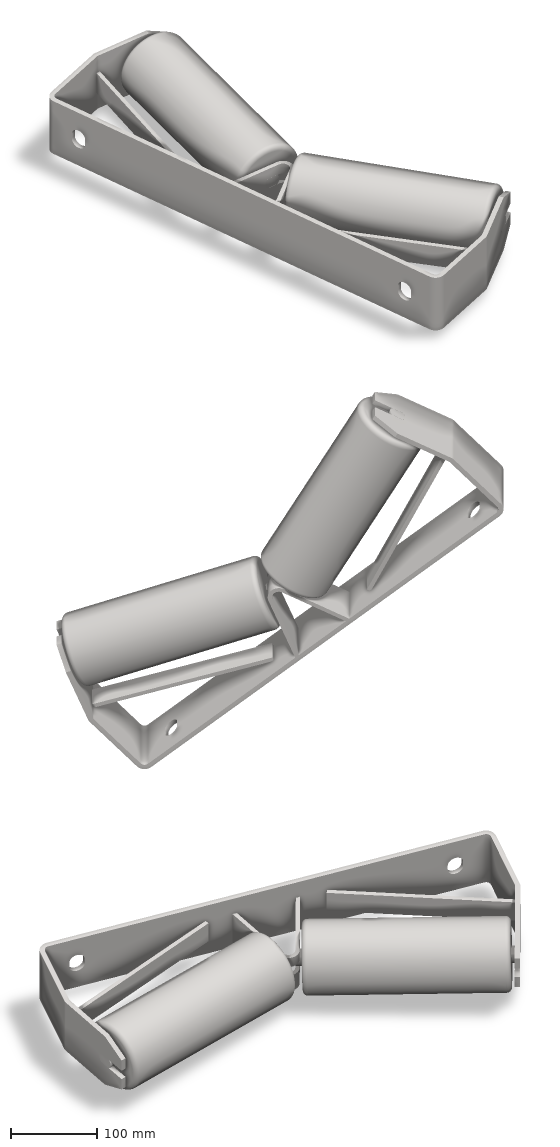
import cadquery as cq
import math

frame_length = 560.0
frame_height = 80.0
frame_plate = 6.0
corner_radius = 12.0
wing_height = 96.5
lean = 20.0
lip_length = 103.0
lip_bend_radius = 9.0
lip_chamfer_along = 30.0
lip_chamfer_across = 16.0
mount_slot_spacing = 465.0
mount_slot_width = 19.0
mount_slot_height = 26.0

roller_diameter = 89.0
roller_length = 242.0
roller_round = 6.0
roller_droop = 1.55
outer_gap = 4.0
inner_gap = 3.0
shaft_diameter = 20.0
shaft_flats = 14.0
shaft_from_lip_end = 30.0

arch_plate = 5.0
arch_top = 15.0
arch_bottom = -frame_height / 2
arch_bend_radius = 13.0

brace_plate = 5.0
brace_height = 30.0
brace_angle = 23.7
brace_start_y = 99.0

sin_lean = math.sin(math.radians(lean))
cos_lean = math.cos(math.radians(lean))
half_length = frame_length / 2

lip_tip_x = -half_length + lip_length * sin_lean
lip_tip_y = wing_height + lip_length * cos_lean

shaft_x = lip_tip_x - shaft_from_lip_end * sin_lean
shaft_y = lip_tip_y - shaft_from_lip_end * cos_lean
roller_start = frame_plate + outer_gap
arch_face = roller_start + roller_length + inner_gap
shaft_length = arch_face + arch_plate

droop_sin = math.sin(math.radians(roller_droop))
droop_cos = math.cos(math.radians(roller_droop))
shaft_plane = cq.Plane(
    origin=(shaft_x, shaft_y, 0),
    xDir=(sin_lean, cos_lean, 0),
    normal=(cos_lean * droop_cos, -sin_lean * droop_cos, -droop_sin),
)

lip_plane = cq.Plane(
    origin=(lip_tip_x, lip_tip_y, 0),
    xDir=(sin_lean, cos_lean, 0),
    normal=(cos_lean, -sin_lean, 0),
)


def mirrored(body):
    """The right-hand copy of a left-hand body."""
    return body.mirror("YZ")


def round_upright_edge(body, x, y, radius):
    """Fillet the upright edge that passes through (x, y)."""
    mid_z = body.val().BoundingBox().center.z
    edge = cq.selectors.NearestToPointSelector((x, y, mid_z))
    return body.edges("|Z").edges(edge).fillet(radius)


def make_shaft(start, length):
    """Round bar with two flats, along the left shaft axis."""
    across = cq.Workplane(shaft_plane).workplane(offset=start)
    round_bar = across.circle(shaft_diameter / 2).extrude(length)
    flat_bar = across.rect(shaft_diameter, shaft_flats).extrude(length)
    return round_bar.intersect(flat_bar)


def make_shaft_slot(start, length):
    """Cutter for the open slot that a shaft end drops into."""
    reach = 2 * shaft_from_lip_end
    channel = (
        cq.Workplane(shaft_plane)
        .workplane(offset=start)
        .center(reach / 2, 0)
        .rect(reach, shaft_flats)
        .extrude(length)
    )
    return channel.union(make_shaft(start, length))


def make_roller():
    shell = (
        cq.Workplane(shaft_plane)
        .workplane(offset=roller_start)
        .circle(roller_diameter / 2)
        .extrude(roller_length)
        .faces("%PLANE")
        .edges()
        .fillet(roller_round)
    )
    return shell.union(make_shaft(0, shaft_length))


def make_bent_half_frame():
    inner_x = -half_length + frame_plate
    inner_bend_y = wing_height - frame_plate * math.tan(math.radians(lean / 2))
    half = (
        cq.Workplane("XY")
        .workplane(offset=-frame_height / 2)
        .polyline([
            (0, 0),
            (-half_length, 0),
            (-half_length, wing_height),
            (lip_tip_x, lip_tip_y),
            (lip_tip_x + frame_plate * cos_lean, lip_tip_y - frame_plate * sin_lean),
            (inner_x, inner_bend_y),
            (inner_x, frame_plate),
            (0, frame_plate),
        ])
        .close()
        .extrude(frame_height)
    )
    half = round_upright_edge(half, -half_length, 0, corner_radius)
    half = round_upright_edge(half, inner_x, frame_plate, corner_radius - frame_plate)
    half = round_upright_edge(half, -half_length, wing_height, lip_bend_radius)
    return round_upright_edge(half, inner_x, inner_bend_y, lip_bend_radius - frame_plate)


def make_lip_corner(side):
    """Cutter for the sloped corner of the lip, above (side 1) or below (side -1)."""
    edge_z = side * frame_height / 2
    return (
        cq.Workplane(lip_plane)
        .polyline([
            (0, edge_z),
            (-lip_chamfer_along, edge_z),
            (0, edge_z - side * lip_chamfer_across),
        ])
        .close()
        .extrude(frame_plate)
    )


def make_frame():
    half = make_bent_half_frame()
    for side in (1, -1):
        half = half.cut(make_lip_corner(side))
    half = half.cut(make_shaft_slot(-frame_plate, 3 * frame_plate))
    mount_slots = (
        cq.Workplane("XZ")
        .pushPoints([(side * mount_slot_spacing / 2, 0) for side in (-1, 1)])
        .slot2D(mount_slot_height, mount_slot_width, 90)
        .extrude(-frame_plate)
    )
    return half.union(mirrored(half)).cut(mount_slots)


def make_arch():
    face_x = shaft_x + arch_face * cos_lean
    face_y = shaft_y - arch_face * sin_lean
    foot_y = frame_plate
    foot_x = face_x - (face_y - foot_y) * sin_lean / cos_lean
    inner_foot_x = foot_x + arch_plate / cos_lean
    peak_y = foot_y - foot_x * cos_lean / sin_lean
    inner_peak_y = peak_y - arch_plate / sin_lean
    arch = (
        cq.Workplane("XY")
        .workplane(offset=arch_bottom)
        .polyline([
            (foot_x, foot_y),
            (0, peak_y),
            (-foot_x, foot_y),
            (-inner_foot_x, foot_y),
            (0, inner_peak_y),
            (inner_foot_x, foot_y),
        ])
        .close()
        .extrude(arch_top - arch_bottom)
    )
    arch = round_upright_edge(arch, 0, peak_y, arch_bend_radius)
    arch = round_upright_edge(arch, 0, inner_peak_y, arch_bend_radius - arch_plate)
    slot = make_shaft_slot(arch_face - arch_plate, 3 * arch_plate)
    return arch.cut(slot).cut(mirrored(slot))


def make_brace(frame_body):
    """Left brace: its upper end is trimmed by the bend, its lower corner rests on the back wall."""
    sin_brace = math.sin(math.radians(brace_angle))
    cos_brace = math.cos(math.radians(brace_angle))
    length = (brace_start_y - brace_plate * cos_brace - frame_plate) / sin_brace
    brace_plane = cq.Plane(
        origin=(-half_length + frame_plate, brace_start_y, -brace_height / 2),
        xDir=(cos_brace, -sin_brace, 0),
        normal=(0, 0, 1),
    )
    bar = (
        cq.Workplane(brace_plane)
        .center(length / 2, -brace_plate / 2)
        .rect(length, brace_plate)
        .extrude(brace_height)
    )
    return bar.cut(frame_body)


frame = make_frame()
arch = make_arch()
left_brace = make_brace(frame)
left_roller = make_roller()

bodies = [frame.val(), arch.val()]
for left_body in (left_brace, left_roller):
    bodies += [left_body.val(), mirrored(left_body).val()]

result = cq.Compound.makeCompound(bodies)